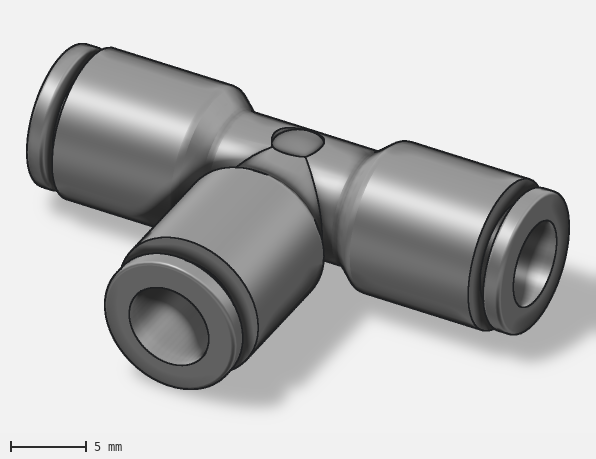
import cadquery as cq

arm_length = 17.85
body_radius = 5.25
core_radius = 4.0
neck_radius = 3.6
collar_radius = 4.95
collar_width = 1.32
collar_round = 0.3
bore_radius = 3.0
cone_length = 1.55
cone_round = 0.7
run_cone_start = 4.95
run_body_end = 15.68
branch_setback = 0.55
badge_radius = 1.75
badge_floor = 3.6


def arm(setback):
    """One solid arm along +Z, with its body moved toward the centre by setback."""
    cone_start = run_cone_start - setback
    cone_end = cone_start + cone_length
    body_end = run_body_end - setback
    collar_start = arm_length - collar_width
    housing = (
        cq.Workplane("XZ")
        .moveTo(0, 0)
        .lineTo(core_radius, 0)
        .lineTo(core_radius, cone_start)
        .lineTo(body_radius, cone_end)
        .lineTo(body_radius, body_end)
        .lineTo(0, body_end)
        .close()
        .revolve(360, (0, 0, 0), (0, 1, 0))
    )
    margin = cone_length / 4
    cone_edges = cq.selectors.BoxSelector(
        (-body_radius, -body_radius, cone_start - margin),
        (body_radius, body_radius, cone_end + margin),
    )
    housing = housing.edges("%CIRCLE").edges(cone_edges).fillet(cone_round)

    neck = (
        cq.Workplane("XY")
        .workplane(offset=body_end)
        .circle(neck_radius)
        .extrude(collar_start - body_end)
    )
    collar = (
        cq.Workplane("XY")
        .workplane(offset=collar_start)
        .circle(collar_radius)
        .extrude(collar_width)
        .edges("%CIRCLE")
        .fillet(collar_round)
    )
    return housing.union(neck).union(collar)


def bore():
    """Bore of one arm, from the centre out through the collar."""
    return cq.Workplane("XY").circle(bore_radius).extrude(arm_length)


def point_along_x(shape, direction):
    """Turn a shape built along +Z to point along +X (1) or -X (-1)."""
    return shape.rotate((0, 0, 0), (0, 1, 0), direction * 90)


def point_along_minus_y(shape):
    """Turn a shape built along +Z to point along -Y."""
    return shape.rotate((0, 0, 0), (1, 0, 0), 90)


result = point_along_minus_y(arm(branch_setback))
for direction in (1, -1):
    result = result.union(point_along_x(arm(0), direction))

result = result.cut(point_along_minus_y(bore()))
for direction in (1, -1):
    result = result.cut(point_along_x(bore(), direction))

badge_recess = (
    cq.Workplane("XY")
    .workplane(offset=badge_floor)
    .circle(badge_radius)
    .extrude(body_radius - badge_floor)
)
result = result.cut(badge_recess)